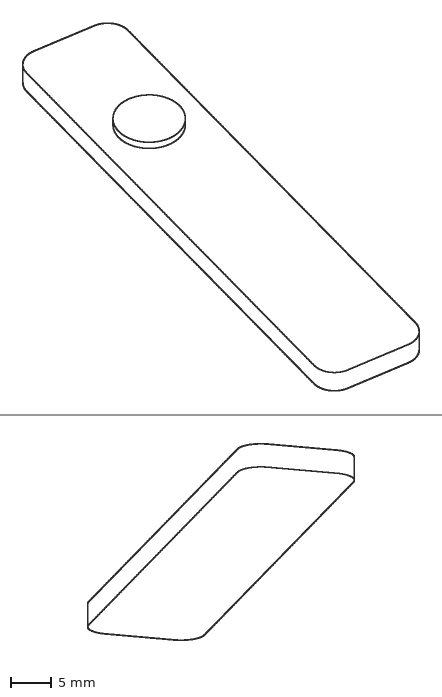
import cadquery as cq

plate_length = 72.0
plate_width = 15.0
total_height = 4.0
disc_height = 1.0
plate_thickness = total_height - disc_height
corner_radius = 3.0

disc_diameter = 9.0
disc_from_left_end = 19.5
disc_x = disc_from_left_end - plate_length / 2


def make_plate():
    """Flat plate with rounded vertical corners, standing on Z = 0."""
    plate = cq.Workplane("XY").box(
        plate_length, plate_width, plate_thickness, centered=(True, True, False)
    )
    return plate.edges("|Z").fillet(corner_radius)


def make_disc():
    """Round disc standing on the top face of the plate."""
    base = cq.Workplane("XY").workplane(offset=plate_thickness)
    return base.center(disc_x, 0).circle(disc_diameter / 2).extrude(disc_height)


result = make_plate().union(make_disc())